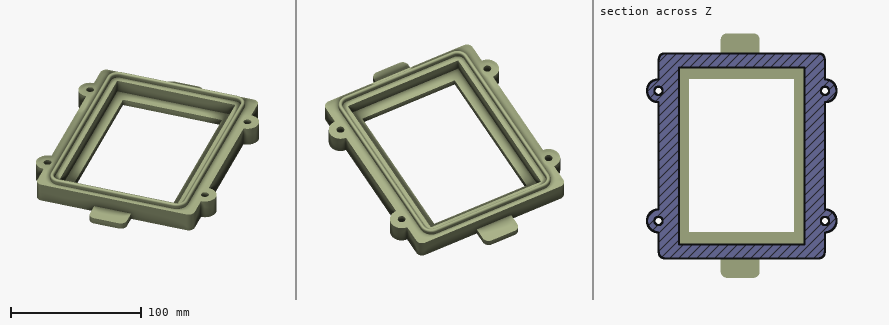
import cadquery as cq

body_width = 128.0
body_length = 158.0
body_height = 15.0
body_corner_radius = 5.0

window_width = 80.5
window_length = 117.5
recess_width = 96.0
recess_length = 135.5
ledge_height = 5.0

lug_radius = 9.0
lug_spacing = 100.0
screw_hole_diameter = 6.0

tab_width = 30.0
tab_length = 15.0
tab_thickness = 5.0
tab_corner_radius = 5.0
tab_offset_x = -1.0

bead_outer_width = 111.5
bead_outer_length = 150.5
bead_outer_radius = 9.0
bead_thickness = 3.0
bead_height = 4.0


def rounded_block(width, length, height, corner_radius):
    """Block on Z = 0, centred in X and Y, with rounded vertical edges."""
    return cq.Workplane("XY").rect(width, length).extrude(height).edges("|Z").fillet(corner_radius)


def rectangular_cutter(width, length, bottom, top):
    """Sharp-cornered cutter between two heights."""
    return cq.Workplane("XY").workplane(offset=bottom).rect(width, length).extrude(top - bottom)


def lug_centres(plane):
    """Place a point at each of the four screw positions."""
    return plane.rect(body_width, lug_spacing, forConstruction=True).vertices()


def make_bead():
    """Closed ring whose section is a straight-sided wall topped by two quarter rounds."""
    half_thickness = bead_thickness / 2
    path_width = bead_outer_width - bead_thickness
    path_length = bead_outer_length - bead_thickness
    path_radius = bead_outer_radius - half_thickness
    path_block = rounded_block(path_width, path_length, body_height, path_radius)
    path = path_block.faces(">Z").wires()

    shoulder = bead_height - half_thickness
    section_plane = cq.Plane(origin=(path_width / 2, 0, body_height), xDir=(1, 0, 0), normal=(0, -1, 0))
    section = (
        cq.Workplane(section_plane)
        .moveTo(-half_thickness, 0)
        .lineTo(half_thickness, 0)
        .lineTo(half_thickness, shoulder)
        .radiusArc((0, bead_height), -half_thickness)
        .radiusArc((-half_thickness, shoulder), -half_thickness)
        .close()
    )
    return section.sweep(path, clean=False)


body = rounded_block(body_width, body_length, body_height, body_corner_radius)
lugs = lug_centres(cq.Workplane("XY")).circle(lug_radius).extrude(body_height)
tab_span = body_length + 2 * tab_length
tabs = rounded_block(tab_width, tab_span, tab_thickness, tab_corner_radius).translate((tab_offset_x, 0, 0))

window = rectangular_cutter(window_width, window_length, 0, body_height)
recess = rectangular_cutter(recess_width, recess_length, ledge_height, body_height)
screw_holes = lug_centres(cq.Workplane("XY")).circle(screw_hole_diameter / 2).extrude(body_height)

frame = body.union(lugs).union(tabs).cut(window).cut(recess).cut(screw_holes)
result = frame.union(make_bead(), clean=False)